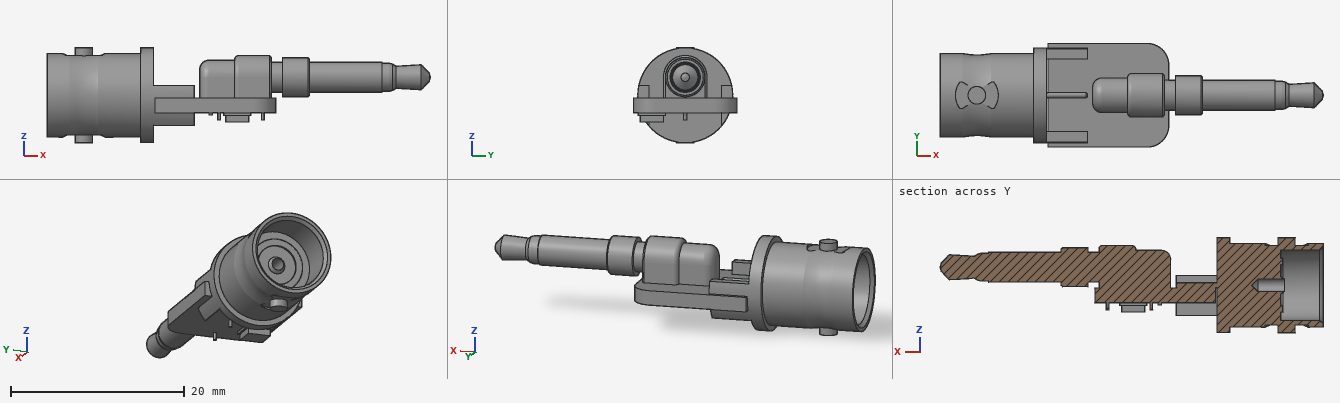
import cadquery as cq

TOTAL_LENGTH = 44.3
OVERLAP = 0.15

SHELL_DIAMETER = 9.7
SHELL_RADIUS = SHELL_DIAMETER / 2
FLANGE_RADIUS = 5.5
FLANGE_START = 10.8
FLANGE_END = 12.3
WAIST_START = 2.6
WAIST_END = 5.95
WAIST_DEPTH = 0.18

PIN_X = 4.25
PIN_RADIUS = 1.0
FLAT_HEIGHT = 4.6
FLAT_RADIUS = 2.5

BORE_RADIUS = 4.08
BORE_DEPTH = 4.9
MOUTH_RADIUS = 4.45
MOUTH_CHAMFER_LENGTH = 0.45
RING_INNER_RADIUS = 2.35
RING_OUTER_RADIUS = 3.15
RING_HEIGHT = 0.2
CONTACT_RADIUS = 1.0
CONTACT_HEIGHT = 0.45
CONTACT_HOLE_RADIUS = 0.7
CONTACT_HOLE_DEPTH = 2.65

BOARD_GAP = 0.15
BOARD_START = FLANGE_END + BOARD_GAP
BOARD_END = 26.45
BOARD_WIDTH = 12.0
BOARD_TOP = -0.3
BOARD_BOTTOM = -2.05
BOARD_CORNER_RADIUS = 2.53
TAB_END = 17.0
TAB_INNER_Y = 4.15
TAB_TOP = 1.15
TAB_BOTTOM = BOARD_TOP + BOARD_BOTTOM - TAB_TOP
LEAD_RADIUS = 0.3
LEAD_TIP_CHAMFER = 0.15

PLUG_Z = 2.1
BODY_START = 17.65
BODY_STEP = 21.67
BODY_END = 25.93
REAR_RADIUS = 2.0
FRONT_RADIUS = 2.53
REAR_FILLET = 1.05
FRONT_FILLET = 0.5
FRONT_END_CHAMFER = 0.2
SLEEVE_DIAMETER = 3.5
SLEEVE_RADIUS = SLEEVE_DIAMETER / 2
COLLAR_START = 27.2
COLLAR_END = 30.35
COLLAR_RADIUS = 2.25
COLLAR_CHAMFER = 0.18
SLEEVE_END = 38.75
SHOULDER_END = 39.55
SHOULDER_RADIUS = 1.65
NECK_RING_END = 39.95
NECK_RING_RADIUS = 1.55
NECK_X = 40.35
NECK_RADIUS = 1.3
TIP_X = 43.25
TIP_RADIUS = 1.45
NOSE_X = 44.2
NOSE_RADIUS = 0.5

PLUG_LEAD_XS = (19.9, 24.95)
PLUG_LEAD_RADIUS = 0.18
PLUG_LEAD_BOTTOM = -2.9
PEG_X = 18.92
PEG_RADIUS = 0.2
PEG_BOTTOM = -2.3
CHIP_X = 22.0
CHIP_LENGTH = 2.7
CHIP_OUTER_Y = -5.25
CHIP_WIDTH = 2.7
CHIP_BOTTOM = -3.1
CHIP_BASE_MARGIN = 0.2
CHIP_BASE_BOTTOM = -2.35


def x_cylinder(start, end, radius):
    """Cylinder along X between two stations."""
    return cq.Workplane("YZ", origin=(start, 0, 0)).circle(radius).extrude(end - start)


def z_cylinder(x, bottom, top, radius):
    """Upright cylinder on the middle plane of the part."""
    return cq.Workplane("XY", origin=(x, 0, bottom)).circle(radius).extrude(top - bottom)


def block(start, end, y_low, y_high, bottom, top):
    """Box given by its limits."""
    size = (end - start, y_high - y_low, top - bottom)
    return cq.Workplane("XY").box(*size, centered=False).translate((start, y_low, bottom))


def make_shell_body():
    """Waisted barrel and flange, with the flange running back as far as the tabs reach."""
    waist_middle = (WAIST_START + WAIST_END) / 2
    profile = (
        cq.Workplane("XZ")
        .moveTo(0, 0)
        .lineTo(0, SHELL_RADIUS)
        .lineTo(WAIST_START, SHELL_RADIUS)
        .threePointArc((waist_middle, SHELL_RADIUS - WAIST_DEPTH), (WAIST_END, SHELL_RADIUS))
        .lineTo(FLANGE_START, SHELL_RADIUS)
        .lineTo(FLANGE_START, FLANGE_RADIUS)
        .lineTo(TAB_END, FLANGE_RADIUS)
        .lineTo(TAB_END, 0)
        .close()
    )
    return profile.revolve(360, (0, 0, 0), (1, 0, 0))


def add_bayonet_pins(shell):
    flat_cutter = z_cylinder(PIN_X, FLAT_HEIGHT, FLANGE_RADIUS, FLAT_RADIUS)
    pin = z_cylinder(PIN_X, BORE_RADIUS + OVERLAP, FLANGE_RADIUS, PIN_RADIUS)
    for turn in (0, 180):
        shell = shell.cut(flat_cutter.rotate((0, 0, 0), (1, 0, 0), turn))
        shell = shell.union(pin.rotate((0, 0, 0), (1, 0, 0), turn))
    return shell


def cut_shell_inside(shell):
    """Hollow the shell, leaving a raised ring and a tapered contact socket on the floor."""
    cavity = (
        cq.Workplane("XZ")
        .moveTo(0, 0)
        .lineTo(0, MOUTH_RADIUS)
        .lineTo(MOUTH_CHAMFER_LENGTH, BORE_RADIUS)
        .lineTo(BORE_DEPTH, BORE_RADIUS)
        .lineTo(BORE_DEPTH, RING_OUTER_RADIUS)
        .lineTo(BORE_DEPTH - RING_HEIGHT, RING_OUTER_RADIUS)
        .lineTo(BORE_DEPTH - RING_HEIGHT, RING_INNER_RADIUS)
        .lineTo(BORE_DEPTH, RING_INNER_RADIUS)
        .lineTo(BORE_DEPTH, CONTACT_RADIUS)
        .lineTo(BORE_DEPTH - CONTACT_HEIGHT, CONTACT_HOLE_RADIUS)
        .lineTo(BORE_DEPTH + CONTACT_HOLE_DEPTH, CONTACT_HOLE_RADIUS)
        .lineTo(BORE_DEPTH + CONTACT_HOLE_DEPTH + CONTACT_HOLE_RADIUS, 0)
        .close()
        .revolve(360, (0, 0, 0), (1, 0, 0))
    )
    return shell.cut(cavity)


def trim_to_tabs(shell):
    """Leave only two tabs of the flange cylinder behind the flange, along the board edges."""
    reach = FLANGE_RADIUS + OVERLAP
    waste = block(FLANGE_END, TAB_END + OVERLAP, -reach, reach, -reach, reach)
    tab_zone = block(FLANGE_END, TAB_END, TAB_INNER_Y, reach, TAB_BOTTOM, TAB_TOP)
    return shell.cut(waste.cut(tab_zone).cut(tab_zone.mirror("XZ")))


def make_board():
    half_width = BOARD_WIDTH / 2
    board = block(BOARD_START, BOARD_END, -half_width, half_width, BOARD_BOTTOM, BOARD_TOP)
    return board.edges("|Z and >X").fillet(BOARD_CORNER_RADIUS)


def make_centre_lead():
    lead = x_cylinder(FLANGE_END - OVERLAP, TAB_END, LEAD_RADIUS)
    return lead.faces(">X").chamfer(LEAD_TIP_CHAMFER)


def make_arch(start, end, radius):
    """Round-topped block standing on the board around the plug axis."""
    foot = BOARD_TOP - PLUG_Z
    outline = (
        cq.Workplane("YZ", origin=(start, 0, PLUG_Z))
        .moveTo(-radius, foot)
        .lineTo(-radius, 0)
        .threePointArc((0, radius), (radius, 0))
        .lineTo(radius, foot)
        .close()
    )
    return outline.extrude(end - start)


def fillet_arch_start(arch, radius):
    return arch.faces("<X").edges("not <Z").fillet(radius)


def make_plug_body():
    rear = fillet_arch_start(make_arch(BODY_START, BODY_STEP + REAR_FILLET, REAR_RADIUS), REAR_FILLET)
    front = fillet_arch_start(make_arch(BODY_STEP, BODY_END, FRONT_RADIUS), FRONT_FILLET)
    front = front.faces(">X").edges("not <Z").chamfer(FRONT_END_CHAMFER)
    return rear.union(front)


def make_plug():
    """Round plug with the collar at its root and the waisted tip at its end."""
    profile = (
        cq.Workplane("XZ", origin=(0, 0, PLUG_Z))
        .moveTo(BODY_END - OVERLAP, 0)
        .lineTo(BODY_END - OVERLAP, SLEEVE_RADIUS)
        .lineTo(COLLAR_START, SLEEVE_RADIUS)
        .lineTo(COLLAR_START, COLLAR_RADIUS)
        .lineTo(COLLAR_END - COLLAR_CHAMFER, COLLAR_RADIUS)
        .lineTo(COLLAR_END, COLLAR_RADIUS - COLLAR_CHAMFER)
        .lineTo(COLLAR_END, SLEEVE_RADIUS)
        .lineTo(SLEEVE_END, SLEEVE_RADIUS)
        .lineTo(SLEEVE_END, SHOULDER_RADIUS)
        .lineTo(SHOULDER_END, SHOULDER_RADIUS)
        .lineTo(NECK_RING_END, NECK_RING_RADIUS)
        .lineTo(NECK_X, NECK_RADIUS)
        .lineTo(TIP_X, TIP_RADIUS)
        .lineTo(NOSE_X, NOSE_RADIUS)
        .lineTo(TOTAL_LENGTH, 0)
        .close()
    )
    return profile.revolve(360, (0, 0, 0), (1, 0, 0))


def make_leads_below_board():
    leads = z_cylinder(PEG_X, PEG_BOTTOM, BOARD_BOTTOM + OVERLAP, PEG_RADIUS)
    for x in PLUG_LEAD_XS:
        leads = leads.union(z_cylinder(x, PLUG_LEAD_BOTTOM, BOARD_BOTTOM + OVERLAP, PLUG_LEAD_RADIUS))
    return leads


def make_chip():
    """Small component under the board, on a slightly larger base."""
    start = CHIP_X - CHIP_LENGTH / 2
    end = CHIP_X + CHIP_LENGTH / 2
    inner_y = CHIP_OUTER_Y + CHIP_WIDTH
    margin = CHIP_BASE_MARGIN
    top = BOARD_BOTTOM + OVERLAP
    case = block(start, end, CHIP_OUTER_Y, inner_y, CHIP_BOTTOM, top)
    base = block(
        start - margin, end + margin, CHIP_OUTER_Y - margin, inner_y + margin, CHIP_BASE_BOTTOM, top
    )
    return case.union(base)


shell = trim_to_tabs(make_shell_body())
shell = cut_shell_inside(add_bayonet_pins(shell))
result = (
    shell.union(make_board())
    .union(make_centre_lead())
    .union(make_plug_body())
    .union(make_plug())
    .union(make_leads_below_board())
    .union(make_chip())
)